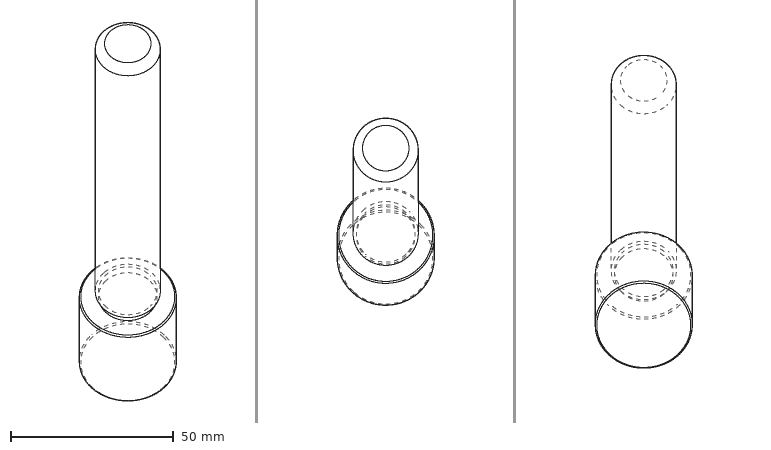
import cadquery as cq

total_height = 170.0
head_diameter = 30.0
head_height = 35.0
head_chamfer = 0.5

shank_diameter = 20.0
tip_height = 2.9
tip_inset = 2.9

groove_diameter = 18.0
groove_width = 3.0


def make_head():
    """Cylindrical head standing on Z = 0, with both rims broken."""
    head = cq.Workplane("XY").circle(head_diameter / 2).extrude(head_height)
    return head.faces("<Z or >Z").chamfer(head_chamfer)


def make_neck():
    """Thin neck that forms the relief groove above the head."""
    neck = cq.Workplane("XY").workplane(offset=head_height)
    return neck.circle(groove_diameter / 2).extrude(groove_width)


def make_shank():
    """Shank from the neck to the top, with a conical tip."""
    shank_bottom = head_height + groove_width
    shank = (
        cq.Workplane("XY")
        .workplane(offset=shank_bottom)
        .circle(shank_diameter / 2)
        .extrude(total_height - shank_bottom)
    )
    return shank.faces(">Z").chamfer(tip_height, tip_inset)


result = make_head().union(make_neck()).union(make_shank())